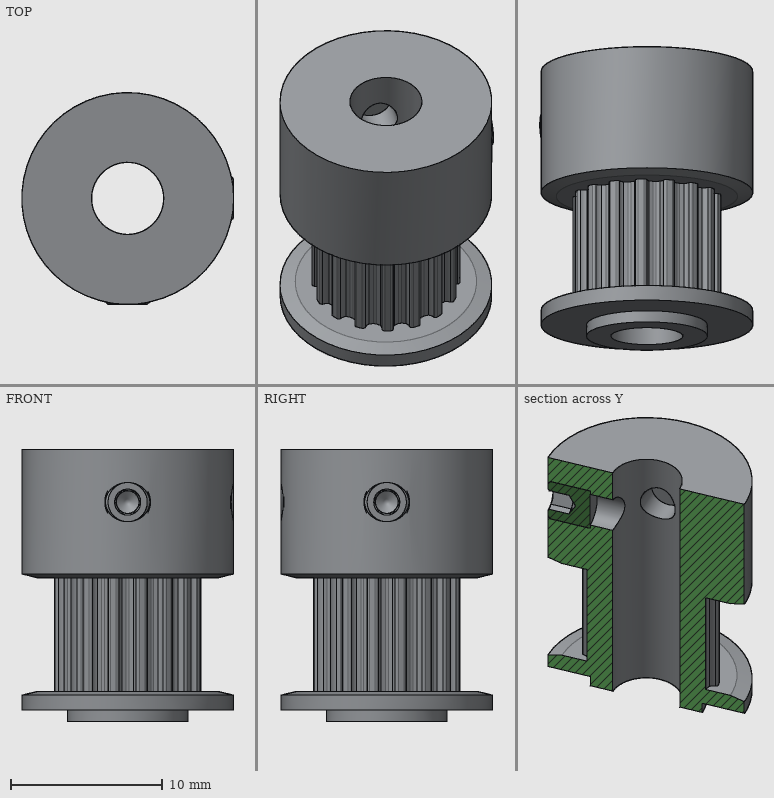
import cadquery as cq
import math

TOTAL_HEIGHT = 18.0
RIM_RADIUS = 7.0
BORE_RADIUS = 2.38
BOSS_RADIUS = 4.0
BOSS_HEIGHT = 0.75
FLANGE_THICKNESS = 1.25
HUB_HEIGHT = 8.5
RIM_BEVEL_WIDTH = 1.0
RIM_BEVEL_HEIGHT = 0.25

TOOTH_COUNT = 16
TOOTH_TIP_RADIUS = 4.9
GROOVE_DEPTH = 0.65
GROOVE_FLOOR_HALF_WIDTH = 0.1
GROOVE_CORNER_HALF_WIDTH = 0.38
GROOVE_CORNER_RISE = 0.09
FLANK_TOP_HALF_WIDTH = 0.55
FLANK_TOP_RISE = 0.47
FLANK_BULGE = 0.027
LAND_HALF_ANGLE = 2.2

SCREW_RADIUS = 1.51
SCREW_LENGTH = 3.0
SCREW_HEIGHT = 14.5
SCREW_TAP_HOLE_RADIUS = 1.25
SCREW_END_RADIUS = 1.3
SCREW_BEVEL_LENGTH = 0.2
SCREW_ANGLES = (-90, 0)
SOCKET_ACROSS_FLATS = 1.5
SOCKET_DEPTH = 1.5
SOCKET_TWIST = -5
SOCKET_POINT_HALF_ANGLE = 59
SOCKET_MOUTH_BEVEL_HALF_ANGLE = 55

FLANGE_TOP = BOSS_HEIGHT + FLANGE_THICKNESS
HUB_BOTTOM = TOTAL_HEIGHT - HUB_HEIGHT
BEVEL_RADIUS = RIM_RADIUS - RIM_BEVEL_WIDTH
SCREW_INNER_END = RIM_RADIUS - SCREW_LENGTH
PITCH_ANGLE = 360 / TOOTH_COUNT


def polar(radius, angle):
    """Point at the given radius and angle in degrees."""
    turn = math.radians(angle)
    return (radius * math.cos(turn), radius * math.sin(turn))


def rotated(point, angle):
    """Point turned about the origin by an angle in degrees."""
    return polar(math.hypot(*point), math.degrees(math.atan2(point[1], point[0])) + angle)


def toothed_section():
    """Belt teeth between the flange and the hub, with one groove centred on +X."""
    floor_radius = TOOTH_TIP_RADIUS - GROOVE_DEPTH
    land_edge_angle = PITCH_ANGLE / 2 - LAND_HALF_ANGLE
    floor_edge = (floor_radius, GROOVE_FLOOR_HALF_WIDTH)
    corner = (floor_radius + GROOVE_CORNER_RISE, GROOVE_CORNER_HALF_WIDTH)
    flank_top = (floor_radius + FLANK_TOP_RISE, FLANK_TOP_HALF_WIDTH)
    flank_middle = (
        (corner[0] + flank_top[0]) / 2 - FLANK_BULGE,
        (corner[1] + flank_top[1]) / 2 + FLANK_BULGE,
    )
    land_edge = polar(TOOTH_TIP_RADIUS, land_edge_angle)
    tip_middle = (
        (flank_top[0] + land_edge[0]) / 2 + FLANK_BULGE,
        (flank_top[1] + land_edge[1]) / 2 - FLANK_BULGE,
    )
    half_groove = (floor_edge, corner, flank_middle, flank_top, tip_middle, land_edge)

    first_land_edge = polar(TOOTH_TIP_RADIUS, -land_edge_angle)
    profile = cq.Workplane("XY", origin=(0, 0, FLANGE_TOP)).moveTo(*first_land_edge)
    for index in range(TOOTH_COUNT):
        angle = index * PITCH_ANGLE
        floor_in, corner_in, flank_mid_in, flank_top_in, tip_mid_in, _ = [
            rotated((x, -y), angle) for x, y in half_groove
        ]
        floor_out, corner_out, flank_mid_out, flank_top_out, tip_mid_out, land_out = [
            rotated(point, angle) for point in half_groove
        ]
        land_middle = polar(TOOTH_TIP_RADIUS, angle + PITCH_ANGLE / 2)
        next_land_edge = rotated(first_land_edge, angle + PITCH_ANGLE)
        profile = (
            profile.threePointArc(tip_mid_in, flank_top_in)
            .threePointArc(flank_mid_in, corner_in)
            .lineTo(*floor_in)
            .lineTo(*floor_out)
            .lineTo(*corner_out)
            .threePointArc(flank_mid_out, flank_top_out)
            .threePointArc(tip_mid_out, land_out)
            .threePointArc(land_middle, next_land_edge)
        )
    return profile.close().extrude(HUB_BOTTOM - FLANGE_TOP)


def boss_and_flange():
    """Short boss under the lower flange, whose upper rim is bevelled."""
    return (
        cq.Workplane("XZ")
        .moveTo(0, 0)
        .lineTo(BOSS_RADIUS, 0)
        .lineTo(BOSS_RADIUS, BOSS_HEIGHT)
        .lineTo(RIM_RADIUS, BOSS_HEIGHT)
        .lineTo(RIM_RADIUS, FLANGE_TOP - RIM_BEVEL_HEIGHT)
        .lineTo(BEVEL_RADIUS, FLANGE_TOP)
        .lineTo(0, FLANGE_TOP)
        .close()
        .revolve(360, (0, 0), (0, 1))
    )


def hub():
    """Clamping hub, whose lower rim is bevelled."""
    return (
        cq.Workplane("XZ")
        .moveTo(0, HUB_BOTTOM)
        .lineTo(BEVEL_RADIUS, HUB_BOTTOM)
        .lineTo(RIM_RADIUS, HUB_BOTTOM + RIM_BEVEL_HEIGHT)
        .lineTo(RIM_RADIUS, TOTAL_HEIGHT)
        .lineTo(0, TOTAL_HEIGHT)
        .close()
        .revolve(360, (0, 0), (0, 1))
    )


def round_along_x(points):
    """Solid of revolution about the screw axis; points are (x, radius)."""
    return (
        cq.Workplane("XZ", origin=(0, 0, SCREW_HEIGHT))
        .polyline(points)
        .close()
        .revolve(360, (0, 0), (1, 0))
    )


def screw_hole(angle):
    """Hole that fits the screw and its bevelled end, then runs on into the bore at tap size."""
    hole = round_along_x([
        (0, 0),
        (0, SCREW_TAP_HOLE_RADIUS),
        (SCREW_INNER_END, SCREW_TAP_HOLE_RADIUS),
        (SCREW_INNER_END, SCREW_RADIUS),
        (RIM_RADIUS - SCREW_BEVEL_LENGTH, SCREW_RADIUS),
        (RIM_RADIUS, SCREW_END_RADIUS),
        (RIM_RADIUS, 0),
    ])
    return hole.rotate((0, 0, 0), (0, 0, 1), angle)


def set_screw(angle):
    """Set screw with a bevelled outer end, flush with the rim, and a hexagon socket."""
    body = round_along_x([
        (SCREW_INNER_END, 0),
        (SCREW_INNER_END, SCREW_RADIUS),
        (RIM_RADIUS - SCREW_BEVEL_LENGTH, SCREW_RADIUS),
        (RIM_RADIUS, SCREW_END_RADIUS),
        (RIM_RADIUS, 0),
    ])

    floor_x = RIM_RADIUS - SOCKET_DEPTH
    corner_radius = SOCKET_ACROSS_FLATS / math.sqrt(3)
    hexagon = (
        cq.Workplane("YZ", origin=(floor_x, 0, SCREW_HEIGHT))
        .transformed(rotate=(0, 0, SOCKET_TWIST))
        .polygon(6, 2 * corner_radius)
        .extrude(SOCKET_DEPTH)
    )

    point_radius = SOCKET_ACROSS_FLATS / 2
    point_depth = point_radius / math.tan(math.radians(SOCKET_POINT_HALF_ANGLE))
    drill_point = round_along_x([(floor_x - point_depth, 0), (floor_x, point_radius), (floor_x, 0)])

    mouth_depth = corner_radius / math.tan(math.radians(SOCKET_MOUTH_BEVEL_HALF_ANGLE))
    mouth = round_along_x([(RIM_RADIUS - mouth_depth, 0), (RIM_RADIUS, corner_radius), (RIM_RADIUS, 0)])

    screw = body.cut(hexagon).cut(drill_point).cut(mouth)
    return screw.rotate((0, 0, 0), (0, 0, 1), angle)


def pulley():
    """One-piece pulley with a through bore and radial screw holes in the hub."""
    bore = cq.Workplane("XY").circle(BORE_RADIUS).extrude(TOTAL_HEIGHT)
    body = boss_and_flange().union(toothed_section()).union(hub()).cut(bore)
    for angle in SCREW_ANGLES:
        body = body.cut(screw_hole(angle))
    return body


set_screws = [set_screw(angle).val() for angle in SCREW_ANGLES]

result = cq.Compound.makeCompound([pulley().val(), *set_screws])